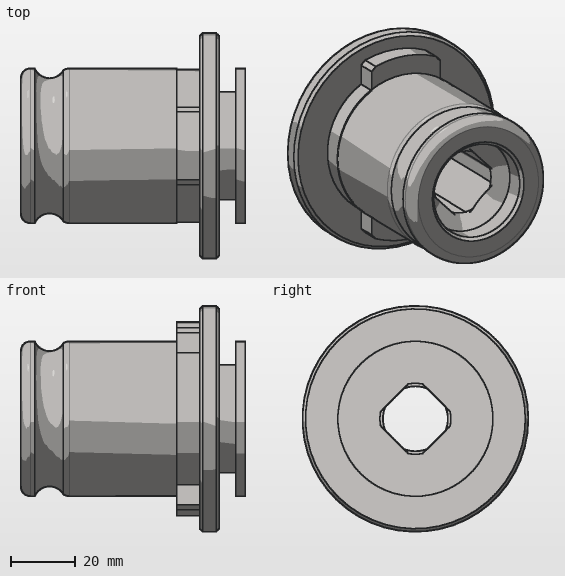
import cadquery as cq
import math

nose_start = 0.0
groove_start = 4.35
groove_middle = 8.95
groove_end = 13.2
shoulder_end = 15.0
collar_start = 48.3
flange_start = 55.4
flange_end = 61.45
tail_disc_start = 66.5
tail_end = 69.5

body_radius = 48.0 / 2
collar_radius = 47.45 / 2
flange_radius = 70.0 / 2
neck_radius = 33.5 / 2
tail_disc_radius = body_radius
groove_floor_radius = 21.0
edge_radius = 3.0
flange_chamfer = 1.0

lug_radius = 30.0
lug_width = 24.0
lug_chamfer = 1.5

bore_radius = 30.0 / 2
bore_chamfer = 1.0
bore_depth = 7.55
cone_slope_angle = 31.0

socket_width = 18.35
socket_corner_radius = 22.0 / 2
socket_opening_radius = 10.0


def revolve_about_x(profile):
    return profile.close().revolve(360, (0, 0, 0), (1, 0, 0))


def round_point(center_x, angle):
    """Point on the body's edge rounding, at an angle measured from the X axis."""
    return (
        center_x + edge_radius * math.cos(math.radians(angle)),
        body_radius - edge_radius + edge_radius * math.sin(math.radians(angle)),
    )


def make_turned_body():
    """Nose bead, groove, barrel, collar, flange, neck and tail disc in one turning."""
    shoulder_angle = math.degrees(math.acos((groove_end - shoulder_end) / edge_radius))
    bead_center = nose_start + edge_radius
    profile = (
        cq.Workplane("XY")
        .moveTo(nose_start, 0)
        .lineTo(nose_start, body_radius - edge_radius)
        .threePointArc(round_point(bead_center, 135), round_point(bead_center, 90))
        .lineTo(groove_start, body_radius)
        .threePointArc((groove_middle, groove_floor_radius), round_point(shoulder_end, shoulder_angle))
        .threePointArc(round_point(shoulder_end, (shoulder_angle + 90) / 2), (shoulder_end, body_radius))
        .lineTo(collar_start, body_radius)
        .lineTo(collar_start, collar_radius)
        .lineTo(flange_start, collar_radius)
        .lineTo(flange_start, flange_radius - flange_chamfer)
        .lineTo(flange_start + flange_chamfer, flange_radius)
        .lineTo(flange_end - flange_chamfer, flange_radius)
        .lineTo(flange_end, flange_radius - flange_chamfer)
        .lineTo(flange_end, neck_radius)
        .lineTo(tail_disc_start, neck_radius)
        .lineTo(tail_disc_start, tail_disc_radius)
        .lineTo(tail_end, tail_disc_radius)
        .lineTo(tail_end, 0)
    )
    return revolve_about_x(profile)


def make_lugs():
    """Bar across the collar whose two round-topped ends form the lugs."""
    half_width = lug_width / 2
    top_y = half_width - lug_chamfer
    top_z = math.sqrt(lug_radius**2 - top_y**2)
    side_z = top_z - lug_chamfer
    return (
        cq.Workplane("YZ", origin=(collar_start, 0, 0))
        .moveTo(half_width, -side_z)
        .lineTo(half_width, side_z)
        .lineTo(top_y, top_z)
        .threePointArc((0, lug_radius), (-top_y, top_z))
        .lineTo(-half_width, side_z)
        .lineTo(-half_width, -side_z)
        .lineTo(-top_y, -top_z)
        .threePointArc((0, -lug_radius), (top_y, -top_z))
        .close()
        .extrude(flange_start - collar_start)
    )


def make_bore():
    """Chamfered bore in the nose, ending in a conical point."""
    tip = bore_depth + bore_radius * math.tan(math.radians(cone_slope_angle))
    profile = (
        cq.Workplane("XY")
        .moveTo(nose_start, 0)
        .lineTo(nose_start, bore_radius + bore_chamfer)
        .lineTo(nose_start + bore_chamfer, bore_radius)
        .lineTo(bore_depth, bore_radius)
        .lineTo(tip, 0)
    )
    return revolve_about_x(profile)


def make_drive_socket():
    """Square socket standing on its corner, open at the tail and broken into by the bore's cone."""
    cone_slope = math.tan(math.radians(cone_slope_angle))
    socket_floor = bore_depth + (bore_radius - socket_opening_radius) * cone_slope
    socket_depth = tail_end - socket_floor
    floor_plane = cq.Workplane("YZ", origin=(socket_floor, 0, 0))
    corner_limit = floor_plane.circle(socket_corner_radius).extrude(socket_depth)
    square = floor_plane.transformed(rotate=(0, 0, 45)).rect(socket_width, socket_width).extrude(socket_depth)
    return square.intersect(corner_limit)


result = make_turned_body().union(make_lugs()).cut(make_bore()).cut(make_drive_socket())